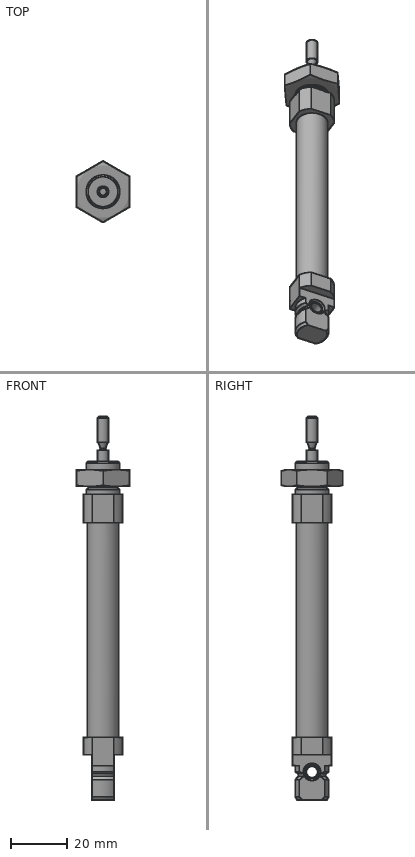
import cadquery as cq
import math

PIVOT_Z = 10.0
WIDE_EYE_BOTTOM_Z = 12.3
REAR_BLOCK_BOTTOM_Z = 16.1
TUBE_BOTTOM_Z = 22.3
TUBE_TOP_Z = 98.8
SHOULDER_Z = 109.1
NECK_TOP_Z = 120.8
ROD_SHOULDER_Z = 124.8
ROD_TIP_Z = 136.8

TUBE_DIAMETER = 11.3
BLOCK_WIDTH = 14.0
BLOCK_CORNER_DIAMETER = 16.0
THREAD_DIAMETER = 12.0
THREAD_CORE_DIAMETER = 10.65
THREAD_CHAMFER_ANGLE = 60.0
THREAD_CHAMFER_DEPTH = (THREAD_DIAMETER - THREAD_CORE_DIAMETER) / 2
THREAD_CHAMFER_LENGTH = THREAD_CHAMFER_DEPTH * math.tan(math.radians(THREAD_CHAMFER_ANGLE))
NECK_CHAMFER_LENGTH = THREAD_CHAMFER_DEPTH
NECK_COLLAR_LENGTH = 1.5

EYE_THICKNESS = 8.0
EYE_GROOVE_TOP_Z = 10.1
EYE_GROOVE_DIAMETER = 10.0
EYE_GROOVE_LOWER_TAPER_LENGTH = 1.2
EYE_GROOVE_UPPER_TAPER_LENGTH = 0.8
EYE_THREAD_TOP_Z = 7.2
PIVOT_HOLE_DIAMETER = 4.0
PIVOT_STEP_DIAMETER = 5.0
PIVOT_COUNTERSINK_DIAMETER = 6.2
PIVOT_COUNTERSINK_DEPTH = (PIVOT_COUNTERSINK_DIAMETER - PIVOT_STEP_DIAMETER) / 2

NUT_ACROSS_FLATS = 19.0
NUT_ACROSS_CORNERS = NUT_ACROSS_FLATS / math.cos(math.radians(30))
NUT_HEIGHT = 6.0
NUT_BOTTOM_Z = 111.8
NUT_FACE_DIAMETER = 18.6
NUT_CHAMFER_ANGLE = 15.0

ROD_DIAMETER = 4.0
ROD_TIP_DIAMETER = 2.6
ROD_TIP_CHAMFER_LENGTH = 0.6
ROD_THREAD_BOTTOM_Z = 127.6
ROD_TAPER_DIAMETER = 3.5
ROD_UNDERCUT_DIAMETER = 2.0
ROD_UNDERCUT_TOP_Z = 125.5
ROD_UNDERCUT_BOTTOM_Z = 125.1
ROD_UNDERCUT_FOOT_DIAMETER = 2.6
ROD_THREAD_DIAMETER = 3.97
ROD_INSERT_DEPTH = 12.0


def revolved(points):
    """Solid of revolution about Z from (diameter, z) points listed upward."""
    bottom_z = points[0][1]
    top_z = points[-1][1]
    outline = cq.Workplane("XZ").moveTo(0, bottom_z)
    for diameter, z in points:
        outline = outline.lineTo(diameter / 2, z)
    return outline.lineTo(0, top_z).close().revolve(360, (0, 0), (0, 1))


def cylinder(diameter, bottom_z, top_z):
    return cq.Workplane("XY").workplane(offset=bottom_z).circle(diameter / 2).extrude(top_z - bottom_z)


def end_block(bottom_z, top_z):
    square = cq.Workplane("XY").workplane(offset=bottom_z).rect(BLOCK_WIDTH, BLOCK_WIDTH)
    return square.extrude(top_z - bottom_z).intersect(cylinder(BLOCK_CORNER_DIAMETER, bottom_z, top_z))


def threaded_neck():
    """Front mounting thread with an undercut between its collar and the nut."""
    collar_top_z = SHOULDER_Z + NECK_COLLAR_LENGTH
    return revolved([
        (THREAD_DIAMETER, SHOULDER_Z),
        (THREAD_DIAMETER, collar_top_z),
        (THREAD_CORE_DIAMETER, collar_top_z + NECK_CHAMFER_LENGTH),
        (THREAD_CORE_DIAMETER, NUT_BOTTOM_Z),
        (THREAD_DIAMETER, NUT_BOTTOM_Z),
        (THREAD_DIAMETER, NECK_TOP_Z - NECK_CHAMFER_LENGTH),
        (THREAD_CORE_DIAMETER, NECK_TOP_Z),
    ])


def rear_eye():
    """Flat-sided eye: wide at the block, then a grooved and chamfered thread stub."""
    stub = revolved([
        (THREAD_CORE_DIAMETER, 0),
        (THREAD_DIAMETER, THREAD_CHAMFER_LENGTH),
        (THREAD_DIAMETER, EYE_THREAD_TOP_Z),
        (EYE_GROOVE_DIAMETER, EYE_THREAD_TOP_Z + EYE_GROOVE_LOWER_TAPER_LENGTH),
        (EYE_GROOVE_DIAMETER, EYE_GROOVE_TOP_Z - EYE_GROOVE_UPPER_TAPER_LENGTH),
        (THREAD_DIAMETER, EYE_GROOVE_TOP_Z),
        (THREAD_DIAMETER, WIDE_EYE_BOTTOM_Z),
    ])
    eye = stub.union(end_block(WIDE_EYE_BOTTOM_Z, REAR_BLOCK_BOTTOM_Z))
    flats = cq.Workplane("XY").box(
        EYE_THICKNESS, BLOCK_CORNER_DIAMETER, REAR_BLOCK_BOTTOM_Z, centered=(True, True, False)
    )
    return eye.intersect(flats)


def pivot_hole():
    """Cutter for the cross hole along X, countersunk with a small step on both flats of the eye."""
    half_thickness = EYE_THICKNESS / 2
    sink_x = half_thickness - PIVOT_COUNTERSINK_DEPTH
    profile = [
        (-half_thickness, PIVOT_COUNTERSINK_DIAMETER),
        (-sink_x, PIVOT_STEP_DIAMETER),
        (-sink_x, PIVOT_HOLE_DIAMETER),
        (sink_x, PIVOT_HOLE_DIAMETER),
        (sink_x, PIVOT_STEP_DIAMETER),
        (half_thickness, PIVOT_COUNTERSINK_DIAMETER),
    ]
    outline = cq.Workplane("XZ", origin=(0, 0, PIVOT_Z)).moveTo(-half_thickness, 0)
    for x, diameter in profile:
        outline = outline.lineTo(x, diameter / 2)
    return outline.lineTo(half_thickness, 0).close().revolve(360, (0, 0), (1, 0))


def make_housing():
    housing = cylinder(TUBE_DIAMETER, TUBE_BOTTOM_Z, TUBE_TOP_Z)
    housing = housing.union(end_block(REAR_BLOCK_BOTTOM_Z, TUBE_BOTTOM_Z))
    housing = housing.union(end_block(TUBE_TOP_Z, SHOULDER_Z))
    housing = housing.union(threaded_neck())
    housing = housing.union(rear_eye())
    rod_bore = cylinder(ROD_DIAMETER, NECK_TOP_Z - ROD_INSERT_DEPTH, NECK_TOP_Z)
    return housing.cut(pivot_hole()).cut(rod_bore)


def make_nut():
    """Hexagon nut with corners toward +Y and -Y and both faces chamfered."""
    top_z = NUT_BOTTOM_Z + NUT_HEIGHT
    slope = math.tan(math.radians(NUT_CHAMFER_ANGLE))
    chamfer_length = (NUT_ACROSS_CORNERS - NUT_FACE_DIAMETER) / 2 * slope
    hexagon = cq.Workplane("XY").workplane(offset=NUT_BOTTOM_Z).polygon(6, NUT_ACROSS_CORNERS)
    hexagon = hexagon.extrude(NUT_HEIGHT).rotate((0, 0, 0), (0, 0, 1), 90)
    envelope = revolved([
        (NUT_FACE_DIAMETER, NUT_BOTTOM_Z),
        (NUT_ACROSS_CORNERS, NUT_BOTTOM_Z + chamfer_length),
        (NUT_ACROSS_CORNERS, top_z - chamfer_length),
        (NUT_FACE_DIAMETER, top_z),
    ])
    return hexagon.intersect(envelope).cut(cylinder(THREAD_DIAMETER, NUT_BOTTOM_Z, top_z))


def make_rod():
    """Piston rod with a chamfered, undercut threaded end."""
    return revolved([
        (ROD_DIAMETER, NECK_TOP_Z - ROD_INSERT_DEPTH),
        (ROD_DIAMETER, ROD_SHOULDER_Z),
        (ROD_UNDERCUT_FOOT_DIAMETER, ROD_SHOULDER_Z),
        (ROD_UNDERCUT_DIAMETER, ROD_UNDERCUT_BOTTOM_Z),
        (ROD_UNDERCUT_DIAMETER, ROD_UNDERCUT_TOP_Z),
        (ROD_TAPER_DIAMETER, ROD_THREAD_BOTTOM_Z),
        (ROD_THREAD_DIAMETER, ROD_THREAD_BOTTOM_Z),
        (ROD_THREAD_DIAMETER, ROD_TIP_Z - ROD_TIP_CHAMFER_LENGTH),
        (ROD_TIP_DIAMETER, ROD_TIP_Z),
    ])


housing = make_housing()
nut = make_nut()
rod = make_rod()

result = cq.Compound.makeCompound([housing.val(), nut.val(), rod.val()])